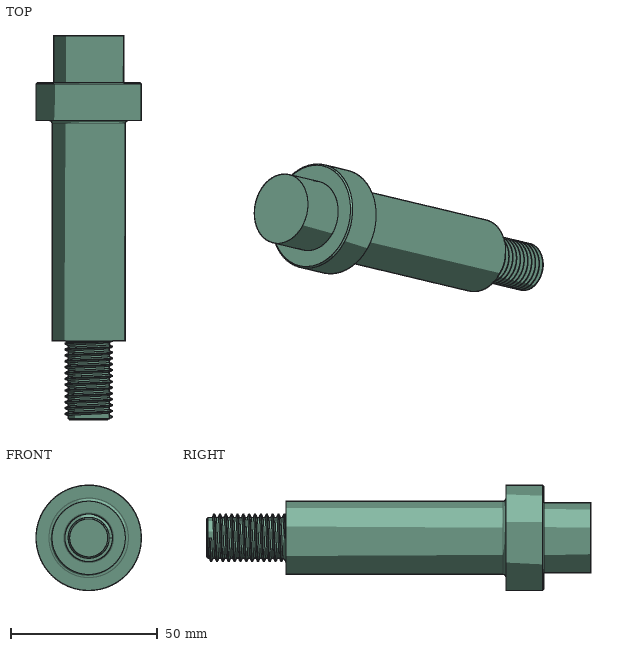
import cadquery as cq

thread_end_length = 27.0
shank_length = 75.0
collar_length = 13.0
total_length = 131.0

core_diameter = 14.0
shank_diameter = 25.0
collar_diameter = 36.0
journal_diameter = 24.0

tip_chamfer = 0.5
collar_chamfer = 0.5
shank_fillet = 1.0
core_fillet = 1.5

thread_start = 1.0
thread_turns = 13
thread_diameter = 16.2
thread_root_width = 1.3
thread_crest_width = 0.3
root_embed = 0.1

selection_margin = 0.1

shoulder_y = thread_end_length
collar_front_y = shoulder_y + shank_length
collar_back_y = collar_front_y + collar_length
core_radius = core_diameter / 2
thread_length = shoulder_y - thread_start
thread_pitch = thread_length / thread_turns


def cylinder(diameter, y_start, y_end):
    """Solid cylinder on the Y axis from y_start to y_end."""
    base = cq.Workplane("XZ", origin=(0, y_start, 0))
    return base.circle(diameter / 2).extrude(y_start - y_end)


def round_corner(pin, y, radius, fillet_radius):
    """Fillet the circular inside corner of the given radius at station y."""
    corner = cq.selectors.BoxSelector(
        (-radius - selection_margin, y - selection_margin, -radius - selection_margin),
        (radius + selection_margin, y + selection_margin, radius + selection_margin),
        boundingbox=True,
    )
    return pin.edges(corner).fillet(fillet_radius)


def make_pin():
    """Threaded-end core, shank, collar and rear journal in one piece."""
    core = cylinder(core_diameter, 0, shoulder_y).faces("<Y").chamfer(tip_chamfer)
    shank = cylinder(shank_diameter, shoulder_y, collar_front_y)
    collar = cylinder(collar_diameter, collar_front_y, collar_back_y)
    collar = collar.faces(">Y").chamfer(collar_chamfer)
    journal = cylinder(journal_diameter, collar_back_y, total_length)
    pin = core.union(shank).union(collar).union(journal)

    pin = round_corner(pin, shoulder_y, core_radius, core_fillet)
    return round_corner(pin, collar_front_y, shank_diameter / 2, shank_fillet)


def make_thread(pin):
    """Helical ridge seated on the core and running out into the shoulder corner."""
    inner_radius = core_radius - root_embed
    crest_radius = thread_diameter / 2
    flank_slope = (thread_root_width - thread_crest_width) / 2 / (crest_radius - core_radius)
    half_root = thread_root_width / 2 + flank_slope * root_embed
    half_crest = thread_crest_width / 2

    path = cq.Wire.makeHelix(thread_pitch, thread_length, inner_radius)
    ridge = (
        cq.Workplane("XZ")
        .polyline([
            (inner_radius, -half_root),
            (crest_radius, -half_crest),
            (crest_radius, half_crest),
            (inner_radius, half_root),
        ])
        .close()
        .sweep(cq.Workplane(obj=path), isFrenet=True)
    )
    ridge = ridge.rotate((0, 0, 0), (1, 0, 0), -90).translate((0, thread_start, 0))
    core = cylinder(core_diameter, -thread_pitch, shoulder_y)
    return ridge.cut(core).cut(pin)


pin = make_pin()
thread = make_thread(pin)

result = cq.Compound.makeCompound([pin.val(), *thread.vals()])